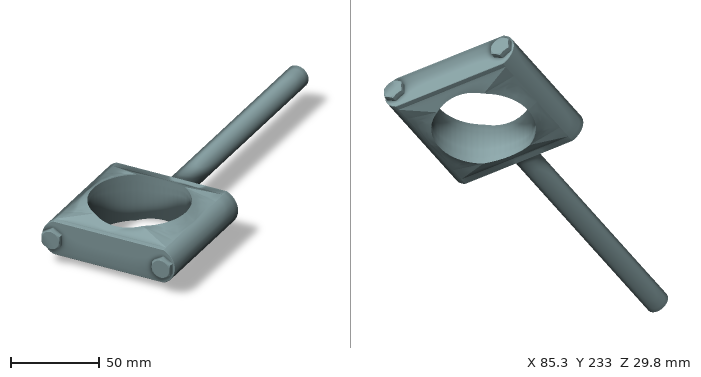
import cadquery as cq
import math

total_length = 233.0
body_width = 85.3
body_thickness = 21.5
body_front = -37.7
body_back = 39.0
bore_radius = 29.7

overall_height = 29.8
pad_half_width = 35.5
pad_half_depth = 34.5
crest_half_depth = 25.5

rod_diameter = 14.0
bolt_offset = 35.5
bolt_head_height = 3.7
bolt_head_flats = 11.5
bolt_face_diameter = 11.0
bolt_chamfer_taper = -60
front_edge_chamfer = 0.2

body_half_thickness = body_thickness / 2
pad_base_z = body_half_thickness
pad_top_z = overall_height / 2
bolt_head_front = body_front - bolt_head_height
rod_end = bolt_head_front + total_length


def make_body():
    """Flat block whose left and right sides are shallow arcs."""
    return (
        cq.Workplane("XZ", origin=(0, body_front, 0))
        .moveTo(-pad_half_width, -body_half_thickness)
        .lineTo(pad_half_width, -body_half_thickness)
        .threePointArc((body_width / 2, 0), (pad_half_width, body_half_thickness))
        .lineTo(-pad_half_width, body_half_thickness)
        .threePointArc((-body_width / 2, 0), (-pad_half_width, -body_half_thickness))
        .close()
        .extrude(body_front - body_back)
        .faces("<Y")
        .chamfer(front_edge_chamfer)
    )


def polygon_face(points):
    return cq.Face.makeFromWires(cq.Wire.makePolygon(points, close=True))


def make_upper_pad():
    """Pad sloping from a rectangular base up to a crest that follows the bore rim."""
    crest_half_width = math.sqrt(bore_radius**2 - crest_half_depth**2)

    def crest(side, end):
        return cq.Vector(side * crest_half_width, end * crest_half_depth, pad_top_z)

    def shoulder(side, end):
        return cq.Vector(side * pad_half_width, end * crest_half_depth, pad_base_z)

    def corner(side, end):
        return cq.Vector(side * pad_half_width, end * pad_half_depth, pad_base_z)

    def base_middle(side):
        return cq.Vector(side * pad_half_width, 0, pad_base_z)

    base_points = [
        corner(-1, -1), corner(1, -1), shoulder(1, -1), base_middle(1), shoulder(1, 1),
        corner(1, 1), corner(-1, 1), shoulder(-1, 1), base_middle(-1), shoulder(-1, -1),
    ]
    faces = [polygon_face(base_points)]
    top_outline = []

    crest_angle = math.asin(crest_half_depth / bore_radius)
    for side in (-1, 1):
        rim_middle = cq.Vector(side * bore_radius, 0, pad_top_z)
        for end in (-1, 1):
            rim_quarter = cq.Vector(
                side * bore_radius * math.cos(crest_angle / 2),
                end * bore_radius * math.sin(crest_angle / 2),
                pad_top_z,
            )
            rim_arc = cq.Edge.makeThreePointArc(rim_middle, rim_quarter, crest(side, end))
            base_edge = cq.Edge.makeLine(base_middle(side), shoulder(side, end))
            faces.append(cq.Face.makeRuledSurface(base_edge, rim_arc))
            top_outline.append(rim_arc)

    for end in (-1, 1):
        top_outline.append(cq.Edge.makeLine(crest(-1, end), crest(1, end)))
        faces.append(polygon_face([corner(-1, end), corner(1, end), crest(1, end), crest(-1, end)]))
        for side in (-1, 1):
            faces.append(polygon_face([corner(side, end), shoulder(side, end), crest(side, end)]))

    faces.append(cq.Face.makeFromWires(cq.Wire.assembleEdges(top_outline)))
    return cq.Workplane(cq.Solid.makeSolid(cq.Shell.makeShell(faces)).fix())


def make_rod():
    return (
        cq.Workplane("XZ", origin=(0, body_back, 0))
        .circle(rod_diameter / 2)
        .extrude(body_back - rod_end)
    )


def make_bolt_heads():
    """Two hexagonal heads, corners up and down, with conical chamfers around their faces."""
    across_corners = bolt_head_flats / math.cos(math.pi / 6)
    centers = [(0, -bolt_offset), (0, bolt_offset)]
    hexagons = (
        cq.Workplane("XZ", origin=(0, body_front, 0))
        .transformed(rotate=(0, 0, 90))
        .pushPoints(centers)
        .polygon(6, across_corners)
        .extrude(bolt_head_height)
    )
    chamfer_cones = (
        cq.Workplane("ZX", origin=(0, bolt_head_front, 0))
        .pushPoints(centers)
        .circle(bolt_face_diameter / 2)
        .extrude(bolt_head_height, taper=bolt_chamfer_taper)
    )
    return hexagons.intersect(chamfer_cones)


upper_pad = make_upper_pad()
lower_pad = upper_pad.mirror("XY")
bore = cq.Workplane("XY").circle(bore_radius).extrude(pad_top_z, both=True)

result = (
    make_body()
    .union(upper_pad)
    .union(lower_pad)
    .cut(bore)
    .union(make_rod())
    .union(make_bolt_heads())
)